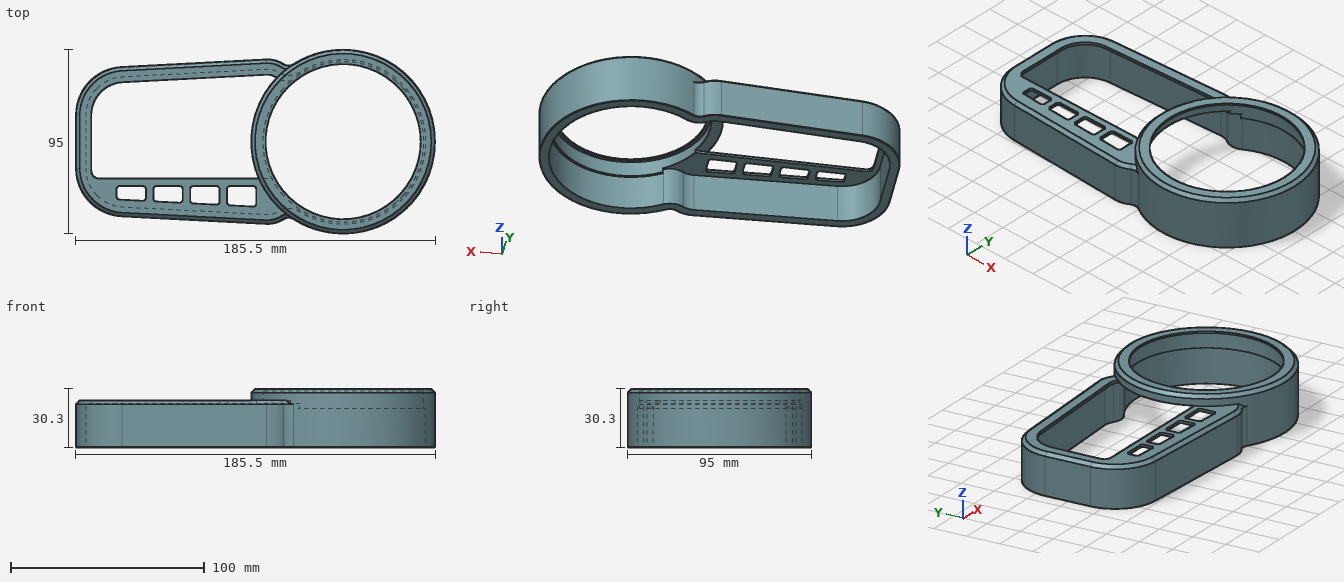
import cadquery as cq
import math

RING_RADIUS = 47.5
RING_HEIGHT = 30.3
RING_SEAT_RADIUS = 41.5
RING_SEAT_BOTTOM = 20.4

PANEL_HEIGHT = 24.3
PANEL_LENGTH = 138.0
END_CORNER_RADIUS = 25.0
END_FLAT_HALF_WIDTH = 13.65
DRAFT_ANGLE = math.radians(3)
SHOULDER_X = -39.0
SHOULDER_RADIUS = 15.0
NECK_FILLET_RADIUS = 5.0
NECK_OVERLAP = 0.01

WALL = 5.0
RING_LIP = 7.5
WINDOW_LIP = 8.0
PANEL_TOP_THICKNESS = 1.5
RING_TOP_THICKNESS = 1.0
TOP_CHAMFER = 2.0
BOTTOM_CHAMFER = 0.3

WINDOW_BOTTOM_Y = -19.0
WINDOW_CORNER_RADIUS = 4.0

BUTTON_COUNT = 4
BUTTON_PITCH = 19.0
BUTTON_WIDTH = 15.0
FIRST_BUTTON_X = -109.4
BUTTON_TOP_Y = -23.0
BUTTON_EDGE_MARGIN = 8.7
BUTTON_CORNER_RADIUS = 1.5

END_CENTER = (END_CORNER_RADIUS - PANEL_LENGTH, END_FLAT_HALF_WIDTH)
SHOULDER_Y = (
    END_CENTER[1]
    + (END_CORNER_RADIUS - SHOULDER_RADIUS) / math.cos(DRAFT_ANGLE)
    + (SHOULDER_X - END_CENTER[0]) * math.tan(DRAFT_ANGLE)
)
SHOULDER_CENTER = (SHOULDER_X, SHOULDER_Y)
PANEL_CEILING = PANEL_HEIGHT - PANEL_TOP_THICKNESS
RING_CEILING = RING_HEIGHT - RING_TOP_THICKNESS


def polar(center, radius, angle):
    return (center[0] + radius * math.cos(angle), center[1] + radius * math.sin(angle))


def mirrored(point):
    return (point[0], -point[1])


def neck_center():
    """Centre of the concave fillet that leads from the shoulder arc into the ring."""
    to_ring = RING_RADIUS + NECK_FILLET_RADIUS - NECK_OVERLAP
    to_shoulder = SHOULDER_RADIUS + NECK_FILLET_RADIUS
    span = math.hypot(*SHOULDER_CENTER)
    cosine = (to_ring**2 + span**2 - to_shoulder**2) / (2 * to_ring * span)
    angle = math.atan2(SHOULDER_CENTER[1], SHOULDER_CENTER[0]) - math.acos(cosine)
    return polar((0, 0), to_ring, angle)


def panel_outline(inset):
    """Panel outline moved inward by inset and closed by a chord inside the ring."""
    end_radius = END_CORNER_RADIUS - inset
    shoulder_radius = SHOULDER_RADIUS - inset
    neck_radius = NECK_FILLET_RADIUS + inset

    neck = neck_center()
    edge_normal = math.pi / 2 + DRAFT_ANGLE
    neck_to_shoulder = math.atan2(SHOULDER_CENTER[1] - neck[1], SHOULDER_CENTER[0] - neck[0])
    shoulder_to_neck = neck_to_shoulder + math.pi
    ring_to_neck = math.atan2(neck[1], neck[0])
    neck_to_ring = ring_to_neck - math.pi
    neck_start = neck_to_shoulder % (2 * math.pi)
    neck_end = neck_to_ring % (2 * math.pi)

    end_start = polar(END_CENTER, end_radius, math.pi)
    end_middle = polar(END_CENTER, end_radius, (math.pi + edge_normal) / 2)
    end_stop = polar(END_CENTER, end_radius, edge_normal)
    shoulder_start = polar(SHOULDER_CENTER, shoulder_radius, edge_normal)
    shoulder_middle = polar(SHOULDER_CENTER, shoulder_radius, (edge_normal + shoulder_to_neck) / 2)
    shoulder_stop = polar(SHOULDER_CENTER, shoulder_radius, shoulder_to_neck)
    neck_middle = polar(neck, neck_radius, (neck_start + neck_end) / 2)
    neck_stop = polar(neck, neck_radius, neck_to_ring)

    return (
        cq.Workplane("XY")
        .moveTo(*end_start)
        .threePointArc(end_middle, end_stop)
        .lineTo(*shoulder_start)
        .threePointArc(shoulder_middle, shoulder_stop)
        .threePointArc(neck_middle, neck_stop)
        .lineTo(*mirrored(neck_stop))
        .threePointArc(mirrored(neck_middle), mirrored(shoulder_stop))
        .threePointArc(mirrored(shoulder_middle), mirrored(shoulder_start))
        .lineTo(*mirrored(end_stop))
        .threePointArc(mirrored(end_middle), mirrored(end_start))
        .close()
    )


def cylinder(radius, bottom, top):
    return cq.Workplane("XY").workplane(offset=bottom).circle(radius).extrude(top - bottom)


def chamfered(body):
    return body.faces(">Z").chamfer(TOP_CHAMFER).faces("<Z").chamfer(BOTTOM_CHAMFER)


def outer_block():
    panel = chamfered(panel_outline(0).extrude(PANEL_HEIGHT))
    ring = chamfered(cylinder(RING_RADIUS, 0, RING_HEIGHT))
    return panel.union(ring)


def window():
    """Window through the panel top, kept clear of the ring wall above the panel."""
    above_buttons = (
        cq.Workplane("XY")
        .rect(PANEL_LENGTH - WINDOW_LIP, -WINDOW_BOTTOM_Y + RING_RADIUS, centered=False)
        .extrude(PANEL_HEIGHT)
        .translate((WINDOW_LIP - PANEL_LENGTH, WINDOW_BOTTOM_Y, 0))
        .edges("|Z and <X and <Y")
        .fillet(WINDOW_CORNER_RADIUS)
    )
    return panel_outline(WINDOW_LIP).extrude(PANEL_HEIGHT).intersect(above_buttons)


def button(index):
    """Button opening whose lower side runs parallel to the panel edge."""
    left = FIRST_BUTTON_X + index * BUTTON_PITCH - BUTTON_WIDTH / 2
    right = left + BUTTON_WIDTH

    def bottom_y(x):
        edge_offset = (END_CORNER_RADIUS - BUTTON_EDGE_MARGIN) / math.cos(DRAFT_ANGLE)
        return -(END_CENTER[1] + edge_offset + (x - END_CENTER[0]) * math.tan(DRAFT_ANGLE))

    corners = [
        (left, BUTTON_TOP_Y),
        (right, BUTTON_TOP_Y),
        (right, bottom_y(right)),
        (left, bottom_y(left)),
    ]
    return (
        cq.Workplane("XY")
        .polyline(corners)
        .close()
        .extrude(PANEL_HEIGHT)
        .edges("|Z")
        .fillet(BUTTON_CORNER_RADIUS)
    )


result = outer_block()
result = result.cut(panel_outline(WALL).extrude(PANEL_CEILING))
result = result.cut(cylinder(RING_RADIUS - WALL, 0, RING_SEAT_BOTTOM))
result = result.cut(cylinder(RING_SEAT_RADIUS, RING_SEAT_BOTTOM, RING_CEILING))
result = result.cut(cylinder(RING_RADIUS - RING_LIP, 0, RING_HEIGHT))
result = result.cut(window())
for button_index in range(BUTTON_COUNT):
    result = result.cut(button(button_index))